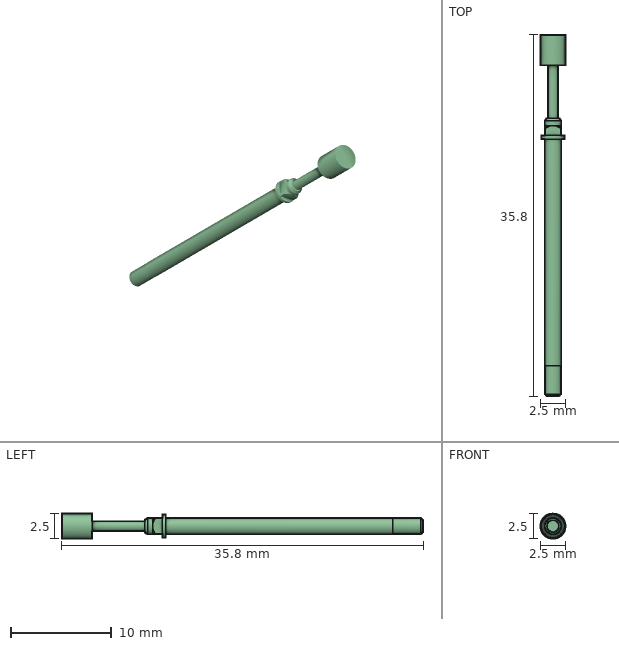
import cadquery as cq
import math

head_dia = 2.5
plunger_dia = 1.0
neck_dia = 1.3
barrel_dia = 1.65
collar_dia = 2.33
plug_dia = 1.6
tip_dia = 1.18

total_length = 35.8
head_length = 3.0
shoulder_depth = 8.25
shoulder_chamfer = 0.3
square_depth = 9.0
collar_depth = 9.95
collar_thickness = 0.35
plug_length = 3.0
tip_chamfer = 0.2

square_width = 1.6
corner_chamfer_angle = 40.0

head_end = total_length / 2
tip_end = -total_length / 2
square_top = head_end - square_depth
collar_top = head_end - collar_depth


def cylinder(diameter, start, end):
    """Round bar about the Y axis between two Y positions."""
    return cq.Workplane("XZ", origin=(0, end, 0)).circle(diameter / 2).extrude(end - start)


def cone(start_dia, end_dia, start, end):
    """Tapered bar about the Y axis; the diameters belong to the two Y positions."""
    solid = cq.Solid.makeCone(
        start_dia / 2, end_dia / 2, end - start, cq.Vector(0, start, 0), cq.Vector(0, 1, 0)
    )
    return cq.Workplane(obj=solid)


def make_plunger():
    """Rod with a wide cylindrical head; the rod runs down to the collar."""
    head = cylinder(head_dia, head_end - head_length, head_end)
    rod = cylinder(plunger_dia, collar_top, head_end)
    return head.union(rod)


def make_barrel():
    """Tube below the collar, ending in a slightly narrower plug with a chamfered tip."""
    plug_top = tip_end + plug_length
    tip_base = tip_end + tip_chamfer
    tube = cylinder(barrel_dia, plug_top, collar_top)
    collar = cylinder(collar_dia, collar_top - collar_thickness, collar_top)
    plug = cylinder(plug_dia, tip_base, plug_top)
    tip = cone(tip_dia, plug_dia, tip_end, tip_base)
    return tube.union(collar).union(plug).union(tip)


def make_shoulder():
    """Round chamfered end of the barrel above the square section."""
    shoulder_top = head_end - shoulder_depth
    chamfer_base = shoulder_top - shoulder_chamfer
    band = cylinder(barrel_dia, square_top, chamfer_base)
    return band.union(cone(barrel_dia, neck_dia, chamfer_base, shoulder_top))


def make_square_section():
    """Square bar whose upper corners are cut by a cone, giving arched flats."""
    square_length = square_top - collar_top
    square = cq.Workplane("XZ", origin=(0, square_top, 0)).rect(square_width, square_width)
    square = square.extrude(square_length)
    cone_spread = square_length / math.tan(math.radians(corner_chamfer_angle))
    cone_base_dia = barrel_dia + 2 * cone_spread
    return square.intersect(cone(cone_base_dia, barrel_dia, collar_top, square_top))


result = (
    make_barrel()
    .union(make_square_section())
    .union(make_shoulder())
    .union(make_plunger())
)